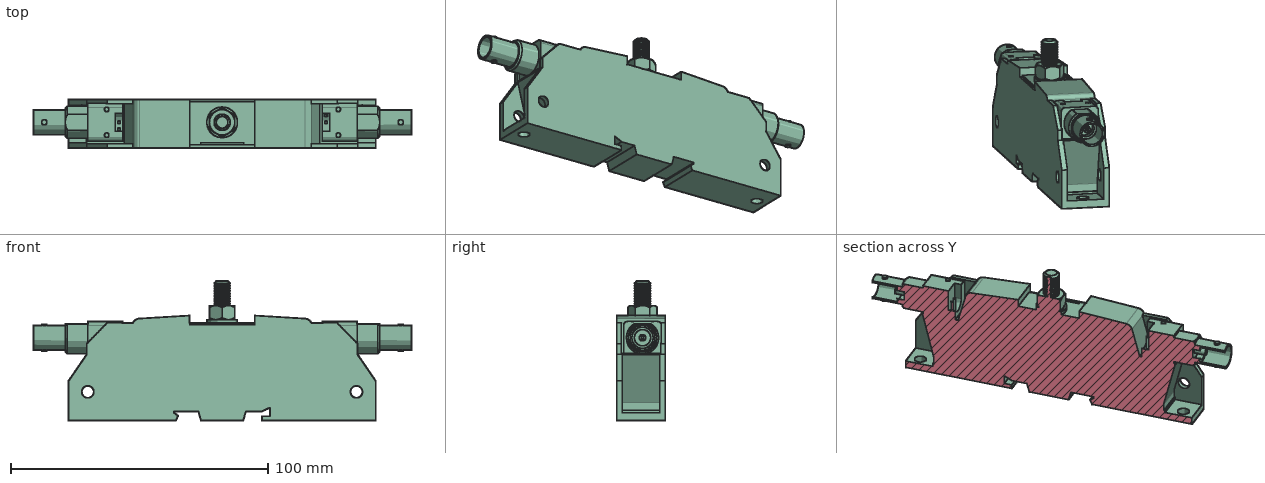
import cadquery as cq
import math

LENGTH = 147.2
BODY_WIDTH = 19.0
TOTAL_HEIGHT = 54.3
BODY_X = -0.1
AXIS_Y = 0.6
SIDES = (-1, 1)

BODY_HALF = 59.8
SHOULDER_Z = 15.5
NECK_HALF = 52.7
NECK_LOW_Z = 25.8
NECK_HIGH_Z = 29.9
CHEEK_HALF = 44.8
CHEEK_Z = 38.0
CROWN_FOOT_HALF = 34.7
CROWN_EDGE_HALF = 32.2
CROWN_EDGE_Z = 39.8
CROWN_ARC_HALF = 34.2
CROWN_ARC_Z = 38.9
PEAK_Z = 41.0
RECESS_HALF = 12.7
RECESS_Z = 37.4

PLATE_TOP = 38.0
PLATE_BACK_Y = 8.5
PLATE_FRONT_Y = -8.1
PLATE_STEP_HALF = 8.4
PLATE_STEP_WIDTH = 0.7
PLATE_STEP_DEPTH = 0.3

RAIL_ROOF = 3.5
FOOT_BOTTOM_HALF = 8.2
FOOT_TOP_HALF = 9.3
FIXED_LIP = -18.0
FIXED_NOSE = -17.1
FIXED_NOSE_Z = 1.9
FIXED_ROOT = -18.7
FIXED_ROOT_Z = 3.1
CATCH_LIP = 15.5
CATCH_LIP_Z = 1.8
CATCH_ROOT = 18.5
CATCH_ROOT_Z = 5.0

WALL = 2.2
FLOOR_Z = 3.1
FLOOR_STEP_Z = 4.0
FLOOR_STEP_HALF = 48.6
CHAMBER_HALF = 48.1
CHAMBER_BEND_Z = 7.0
CHAMBER_TOP_HALF = 53.0
HOLE_DIAMETER = 4.5
SIDE_HOLE_HALF = 52.3
SIDE_HOLE_Z = 11.2
FLOOR_HOLE_HALF = 54.9

SEAT_WALL = 1.8
SEAT_Z = 26.2
SEAT_FOOT_HALF = 38.0

BLOCK_INNER = 38.9
BLOCK_OUTER = 52.4
BLOCK_WIDTH = 14.7
BLOCK_TOP = 38.6
BLOCK_ROUND = 1.5
NOTCH_LENGTH = 2.8
NOTCH_WIDTH = 7.0
POST_DIAMETER = 1.09
POST_TOP = 33.9
POST_SPACING = 2.7
DIMPLE_DIAMETER = 1.8
DIMPLE_DEPTH = 1.0
DIMPLE_X = 45.0
DIMPLE_OFFSET = 5.0

AXIS_Z = 32.2
COLLAR_RADIUS = 12.5 / 2
COLLAR_END = 61.1
COLLAR_CHAMFER = 0.7
COLLAR_FLAT = 5.5
BARREL_RADIUS = 9.7 / 2
BORE_RADIUS = 8.2 / 2
BORE_DEPTH = 10.3
SOCKET_RADIUS = 6.3 / 2
SOCKET_DEPTH = 13.3
CONTACT_RADIUS = 2.5 / 2
CONTACT_LENGTH = 4.4
CONTACT_HOLE_RADIUS = 0.99 / 2
LUG_DIAMETER = 2.0
LUG_SPAN = 10.6
LUG_X = 69.4

WASHER_DIAMETER = 12.0
WASHER_TOP = 39.3
NUT_FLATS = 9.9
NUT_TOP = 44.8
NUT_CHAMFER_HEIGHT = 0.7
STUD_RADIUS = 6.3 / 2
STUD_TIP_RADIUS = 4.5 / 2
THREAD_PITCH = 1.0
THREAD_DEPTH = 0.5
THREAD_COUNT = 9


def across(y_low, y_high, points):
    """Prism of an XZ outline between two Y positions."""
    outline = cq.Workplane("XZ", origin=(0, y_high, 0)).polyline(points).close()
    return outline.extrude(y_high - y_low)


def box(x_low, x_high, y_low, y_high, z_low, z_high):
    return cq.Workplane("XY").box(
        x_high - x_low, y_high - y_low, z_high - z_low, centered=False
    ).translate((x_low, y_low, z_low))


def upright(x, y, z_low, z_high, diameter):
    return cq.Workplane("XY", origin=(x, y, z_low)).circle(diameter / 2).extrude(z_high - z_low)


def make_housing():
    """Solid housing block in its own frame, with X = 0 in its middle."""
    return (
        cq.Workplane("XZ", origin=(0, BODY_WIDTH / 2, 0))
        .moveTo(-BODY_HALF, 0)
        .lineTo(-BODY_HALF, SHOULDER_Z)
        .lineTo(-NECK_HALF, NECK_LOW_Z)
        .lineTo(-NECK_HALF, NECK_HIGH_Z)
        .lineTo(-CHEEK_HALF, CHEEK_Z)
        .lineTo(-CROWN_FOOT_HALF, CHEEK_Z)
        .threePointArc((-CROWN_ARC_HALF, CROWN_ARC_Z), (-CROWN_EDGE_HALF, CROWN_EDGE_Z))
        .lineTo(-RECESS_HALF, PEAK_Z)
        .lineTo(-RECESS_HALF, RECESS_Z)
        .lineTo(RECESS_HALF, RECESS_Z)
        .lineTo(RECESS_HALF, PEAK_Z)
        .lineTo(CROWN_EDGE_HALF, CROWN_EDGE_Z)
        .threePointArc((CROWN_ARC_HALF, CROWN_ARC_Z), (CROWN_FOOT_HALF, CHEEK_Z))
        .lineTo(CHEEK_HALF, CHEEK_Z)
        .lineTo(NECK_HALF, NECK_HIGH_Z)
        .lineTo(NECK_HALF, NECK_LOW_Z)
        .lineTo(BODY_HALF, SHOULDER_Z)
        .lineTo(BODY_HALF, 0)
        .lineTo(CATCH_LIP, 0)
        .lineTo(CATCH_LIP, CATCH_LIP_Z)
        .lineTo(CATCH_ROOT, CATCH_LIP_Z)
        .lineTo(CATCH_ROOT, CATCH_ROOT_Z)
        .lineTo(CATCH_LIP, RAIL_ROOF)
        .lineTo(FOOT_TOP_HALF, RAIL_ROOF)
        .lineTo(FOOT_BOTTOM_HALF, 0)
        .lineTo(-FOOT_BOTTOM_HALF, 0)
        .lineTo(-FOOT_TOP_HALF, RAIL_ROOF)
        .lineTo(FIXED_ROOT, RAIL_ROOF)
        .lineTo(FIXED_ROOT, FIXED_ROOT_Z)
        .lineTo(FIXED_NOSE, FIXED_NOSE_Z)
        .lineTo(FIXED_LIP, 0)
        .close()
        .extrude(BODY_WIDTH)
    )


def make_end_cuts(side):
    """Lower chamber, connector seat and screw holes at one end of the housing."""
    chamber_y = BODY_WIDTH / 2 - WALL
    seat_y = BODY_WIDTH / 2 - SEAT_WALL
    chamber = across(-chamber_y, chamber_y, [
        (side * LENGTH / 2, FLOOR_Z),
        (side * FLOOR_STEP_HALF, FLOOR_Z),
        (side * FLOOR_STEP_HALF, FLOOR_STEP_Z),
        (side * CHAMBER_HALF, FLOOR_STEP_Z),
        (side * CHAMBER_HALF, CHAMBER_BEND_Z),
        (side * CHAMBER_TOP_HALF, SEAT_Z),
        (side * LENGTH / 2, SEAT_Z),
    ])
    seat = across(-seat_y, seat_y, [
        (side * LENGTH / 2, SEAT_Z),
        (side * SEAT_FOOT_HALF, SEAT_Z),
        (side * CROWN_FOOT_HALF, CHEEK_Z),
        (side * LENGTH / 2, CHEEK_Z),
    ])
    side_hole = (
        cq.Workplane("XZ", origin=(side * SIDE_HOLE_HALF, 0, SIDE_HOLE_Z))
        .circle(HOLE_DIAMETER / 2)
        .extrude(BODY_WIDTH, both=True)
    )
    floor_hole = upright(side * FLOOR_HOLE_HALF, 0, 0, FLOOR_Z, HOLE_DIAMETER)
    return chamber.union(seat).union(side_hole).union(floor_hole)


def make_plate():
    """Earth plate with a shallow step along its front edge."""
    plate = box(-RECESS_HALF, RECESS_HALF, PLATE_FRONT_Y, PLATE_BACK_Y, RECESS_Z, PLATE_TOP)
    step = box(
        -PLATE_STEP_HALF, PLATE_STEP_HALF, PLATE_FRONT_Y, PLATE_FRONT_Y + PLATE_STEP_WIDTH,
        PLATE_TOP - PLATE_STEP_DEPTH, PLATE_TOP,
    )
    return plate.cut(step)


def make_block():
    """Connector block at the +X end, centred on Y = 0: a round-bottomed notch holds two contact posts."""
    half = BLOCK_WIDTH / 2
    block = box(BLOCK_INNER, BLOCK_OUTER, -half, half, SEAT_Z, BLOCK_TOP)
    block = block.edges("|X and >Z").fillet(BLOCK_ROUND)
    notch_radius = NOTCH_WIDTH / 2
    notch_end = BLOCK_INNER + NOTCH_LENGTH
    block = block.cut(box(
        BLOCK_INNER, notch_end, -notch_radius, notch_radius, AXIS_Z, BLOCK_TOP
    ))
    block = block.cut(
        cq.Workplane("YZ", origin=(BLOCK_INNER, 0, AXIS_Z)).circle(notch_radius).extrude(NOTCH_LENGTH)
    )
    post_x = BLOCK_INNER + NOTCH_LENGTH / 2
    for post_y in (0, POST_SPACING):
        block = block.union(upright(post_x, post_y, SEAT_Z, POST_TOP, POST_DIAMETER))
    for row in SIDES:
        block = block.cut(upright(
            DIMPLE_X, row * DIMPLE_OFFSET, BLOCK_TOP - DIMPLE_DEPTH, BLOCK_TOP, DIMPLE_DIAMETER
        ))
    return block


def make_coax():
    """Bayonet connector at the +X end, its axis along X at Y = 0."""
    tip = LENGTH / 2
    socket_floor = tip - SOCKET_DEPTH
    contact_end = socket_floor + CONTACT_LENGTH
    profile = [
        (BLOCK_OUTER, 0),
        (BLOCK_OUTER, COLLAR_RADIUS),
        (COLLAR_END - COLLAR_CHAMFER, COLLAR_RADIUS),
        (COLLAR_END, COLLAR_RADIUS - COLLAR_CHAMFER),
        (COLLAR_END, BARREL_RADIUS),
        (tip, BARREL_RADIUS),
        (tip, BORE_RADIUS),
        (tip - BORE_DEPTH, BORE_RADIUS),
        (tip - BORE_DEPTH, SOCKET_RADIUS),
        (socket_floor, SOCKET_RADIUS),
        (socket_floor, CONTACT_RADIUS),
        (contact_end, CONTACT_RADIUS),
        (contact_end, CONTACT_HOLE_RADIUS),
        (socket_floor, CONTACT_HOLE_RADIUS),
        (socket_floor, 0),
    ]
    coax = cq.Workplane("XY").polyline(profile).close().revolve(360, (0, 0, 0), (1, 0, 0))
    coax = coax.cut(box(
        BLOCK_OUTER, COLLAR_END, -COLLAR_RADIUS, COLLAR_RADIUS, COLLAR_FLAT, COLLAR_RADIUS
    ))
    lugs = upright(LUG_X, 0, -LUG_SPAN / 2, LUG_SPAN / 2, LUG_DIAMETER)
    lugs = lugs.cut(
        cq.Workplane("YZ").circle((BORE_RADIUS + BARREL_RADIUS) / 2).extrude(tip)
    )
    return coax.union(lugs).translate((0, 0, AXIS_Z))


def make_nut():
    """Hexagon nut with flats facing X, both ends chamfered down to the flats."""
    corner_radius = NUT_FLATS / math.sqrt(3)
    flat_radius = NUT_FLATS / 2
    nut = (
        cq.Workplane("XY", origin=(0, 0, WASHER_TOP))
        .polygon(6, 2 * corner_radius)
        .extrude(NUT_TOP - WASHER_TOP)
        .rotate((0, 0, 0), (0, 0, 1), 90)
    )
    envelope = (
        cq.Workplane("XZ")
        .polyline([
            (0, WASHER_TOP),
            (flat_radius, WASHER_TOP),
            (corner_radius, WASHER_TOP + NUT_CHAMFER_HEIGHT),
            (corner_radius, NUT_TOP - NUT_CHAMFER_HEIGHT),
            (flat_radius, NUT_TOP),
            (0, NUT_TOP),
        ])
        .close()
        .revolve(360, (0, 0, 0), (0, 1, 0))
    )
    return nut.intersect(envelope)


def make_stud():
    """Stud with ring-shaped thread grooves above the nut."""
    tip_z = TOTAL_HEIGHT - (STUD_RADIUS - STUD_TIP_RADIUS)
    stud = cq.Workplane("XZ").moveTo(0, RECESS_Z).lineTo(STUD_RADIUS, RECESS_Z)
    thread_bottom = tip_z - THREAD_COUNT * THREAD_PITCH
    for turn in range(THREAD_COUNT):
        crest_z = thread_bottom + turn * THREAD_PITCH
        stud = stud.lineTo(STUD_RADIUS, crest_z)
        stud = stud.lineTo(STUD_RADIUS - THREAD_DEPTH, crest_z + THREAD_PITCH / 2)
    return (
        stud.lineTo(STUD_RADIUS, tip_z)
        .lineTo(STUD_TIP_RADIUS, TOTAL_HEIGHT)
        .lineTo(0, TOTAL_HEIGHT)
        .close()
        .revolve(360, (0, 0, 0), (0, 1, 0))
    )


housing = make_housing()
for end in SIDES:
    housing = housing.cut(make_end_cuts(end))
housing = housing.union(make_plate()).translate((BODY_X, 0, 0))

washer = upright(0, 0, PLATE_TOP, WASHER_TOP, WASHER_DIAMETER)
fastener = make_stud().union(washer).union(make_nut()).translate((BODY_X, AXIS_Y, 0))

connector = make_block().union(make_coax())
opposite_connector = connector.rotate((0, 0, 0), (0, 0, 1), 180)

result = housing.union(fastener)
for unit in (connector, opposite_connector):
    result = result.union(unit.translate((0, AXIS_Y, 0)))